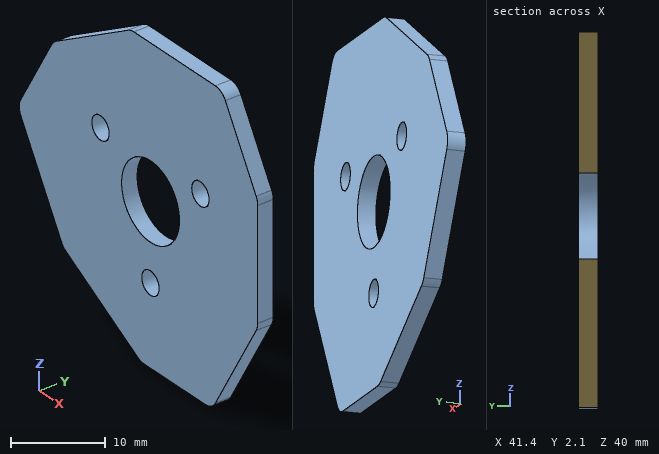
import cadquery as cq
import math

thickness = 2.1
corner_radius = 2.0

sector_count = 3
sector_angle = 360 / sector_count
sector_sides = [
    (0, 18.6),
    (30, 20.5),
    (90, 19.5),
]

bore_diameter = 10.0
screw_hole_diameter = 3.0
screw_circle_radius = 10.0
first_screw_angle = 30


def corner_between(side, next_side):
    """Return the (x, z) point where the lines of two sides cross."""
    angle, distance = math.radians(side[0]), side[1]
    next_angle, next_distance = math.radians(next_side[0]), next_side[1]
    turn = math.sin(next_angle - angle)
    x = (distance * math.sin(next_angle) - next_distance * math.sin(angle)) / turn
    z = (next_distance * math.cos(angle) - distance * math.cos(next_angle)) / turn
    return x, z


def make_plate():
    """Build the nine-sided plate with its front face on y = 0 and rounded corners."""
    sides = [
        (angle + sector * sector_angle, distance)
        for sector in range(sector_count)
        for angle, distance in sector_sides
    ]
    next_sides = sides[1:] + sides[:1]
    corners = [corner_between(side, next_side) for side, next_side in zip(sides, next_sides)]
    plate = cq.Workplane("XZ").polyline(corners).close().extrude(-thickness)
    return plate.edges("|Y").fillet(corner_radius)


def cut_bore(plate):
    """Cut the central through hole."""
    bore = cq.Workplane("XZ").circle(bore_diameter / 2).extrude(-thickness)
    return plate.cut(bore)


def cut_screw_holes(plate):
    """Cut the ring of screw holes, one per sector."""
    screw_holes = (
        cq.Workplane("XZ")
        .polarArray(screw_circle_radius, first_screw_angle, 360, sector_count)
        .circle(screw_hole_diameter / 2)
        .extrude(-thickness)
    )
    return plate.cut(screw_holes)


result = cut_screw_holes(cut_bore(make_plate()))